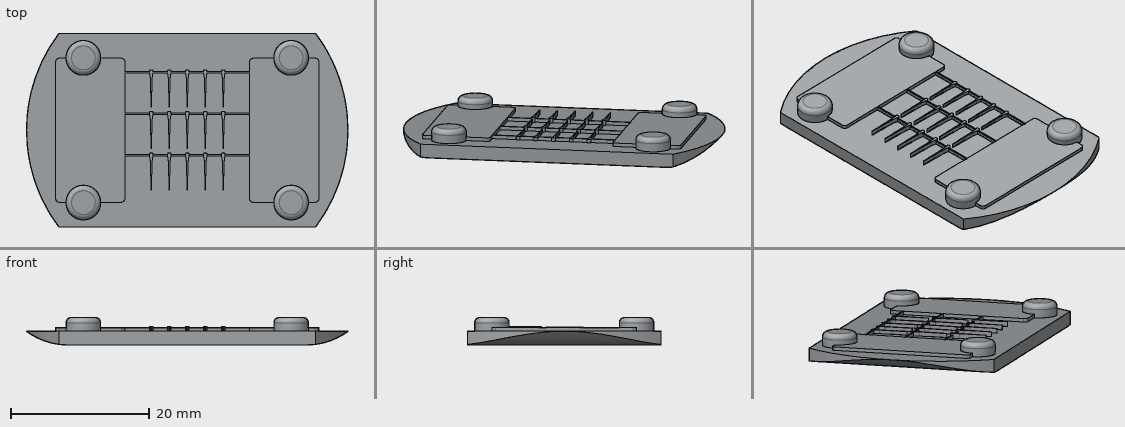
import cadquery as cq
import math

disc_radius = 23.25
base_depth = 28.0
base_thickness = 2.0
underside_radius = 10.0

pad_inner_x = 9.0
pad_outer_x = 19.0
pad_depth = 20.85
pad_height = 0.5
pad_corner_radius = 0.5

foot_diameter = 5.0
foot_height = 2.0
foot_round = 0.8
foot_x = 15.0
foot_y = 10.45

row_spacing = 6.0
back_row_y = 8.35
row_heights = [0.5, 0.6, 0.7]
bar_width = 0.2
bar_height = pad_height

needle_count = 5
needle_spacing = 2.6
needle_length = 5.0
head_radius = 0.3
head_offset = 0.1
neck_distance = 0.95
neck_width = 0.25
tip_width = 0.05


def make_base():
    """Plate with rounded ends and an underside that curves up to the end rims."""
    disc = cq.Workplane("XY").circle(disc_radius).extrude(base_thickness)
    rise_width = math.sqrt(underside_radius**2 - (underside_radius - base_thickness) ** 2)
    flat_x = disc_radius - rise_width

    half_angle = math.asin(rise_width / underside_radius) / 2
    mid_x = flat_x + underside_radius * math.sin(half_angle)
    mid_z = underside_radius * (1 - math.cos(half_angle))

    profile = (
        cq.Workplane("XZ")
        .moveTo(-flat_x, 0)
        .lineTo(flat_x, 0)
        .threePointArc((mid_x, mid_z), (disc_radius, base_thickness))
        .lineTo(-disc_radius, base_thickness)
        .threePointArc((-mid_x, mid_z), (-flat_x, 0))
        .close()
        .extrude(base_depth / 2, both=True)
    )
    return profile.intersect(disc)


def on_base():
    """Workplane on the top face of the base."""
    return cq.Workplane("XY", origin=(0, 0, base_thickness))


def make_pads():
    pad_centre_x = (pad_inner_x + pad_outer_x) / 2
    return (
        on_base()
        .pushPoints([(-pad_centre_x, 0), (pad_centre_x, 0)])
        .rect(pad_outer_x - pad_inner_x, pad_depth)
        .extrude(pad_height)
        .edges("|Z")
        .fillet(pad_corner_radius)
    )


def make_feet():
    return (
        on_base()
        .rect(2 * foot_x, 2 * foot_y, forConstruction=True)
        .vertices()
        .circle(foot_diameter / 2)
        .extrude(foot_height)
        .faces(">Z")
        .edges()
        .fillet(foot_round)
    )


def make_bar(row_y):
    return on_base().center(0, row_y).rect(2 * pad_inner_x, bar_width).extrude(bar_height)


def make_needle(x, row_y, height):
    """Upright blade with a round head at the bar, tapering to a thin tip."""
    return (
        on_base()
        .center(x, row_y)
        .moveTo(-head_radius, head_offset)
        .threePointArc((0, head_offset + head_radius), (head_radius, head_offset))
        .lineTo(neck_width / 2, -neck_distance)
        .lineTo(tip_width / 2, -needle_length)
        .lineTo(-tip_width / 2, -needle_length)
        .lineTo(-neck_width / 2, -neck_distance)
        .close()
        .extrude(height)
    )


result = make_base().union(make_pads()).union(make_feet())

for row, needle_height in enumerate(row_heights):
    row_y = back_row_y - row * row_spacing
    result = result.union(make_bar(row_y))
    for column in range(needle_count):
        needle_x = (column - (needle_count - 1) / 2) * needle_spacing
        result = result.union(make_needle(needle_x, row_y, needle_height))